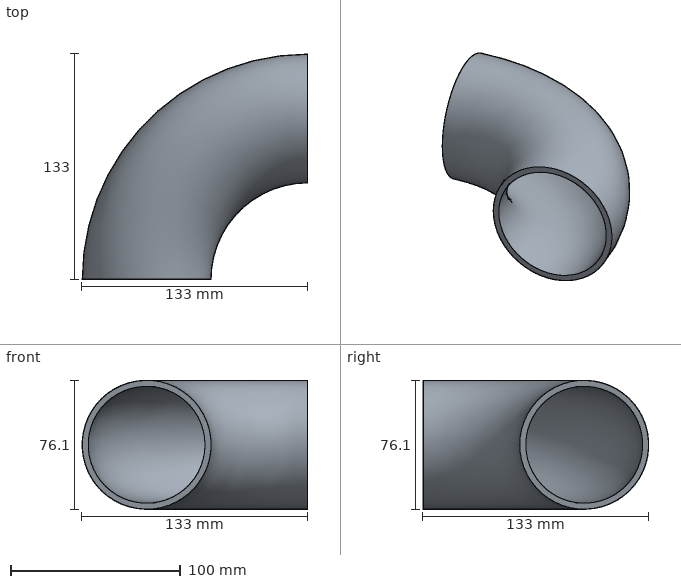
import cadquery as cq

overall_size = 133.0
outer_diameter = 76.1
wall_thickness = 3.6
bend_angle = 90.0

outer_radius = outer_diameter / 2
inner_radius = outer_radius - wall_thickness
bend_radius = overall_size - outer_radius

pipe_section = (
    cq.Workplane("XZ")
    .center(-bend_radius, 0)
    .circle(outer_radius)
    .circle(inner_radius)
)
bend_axis_start = (bend_radius, 0, 0)
bend_axis_end = (bend_radius, -1, 0)

result = pipe_section.revolve(bend_angle, bend_axis_start, bend_axis_end)